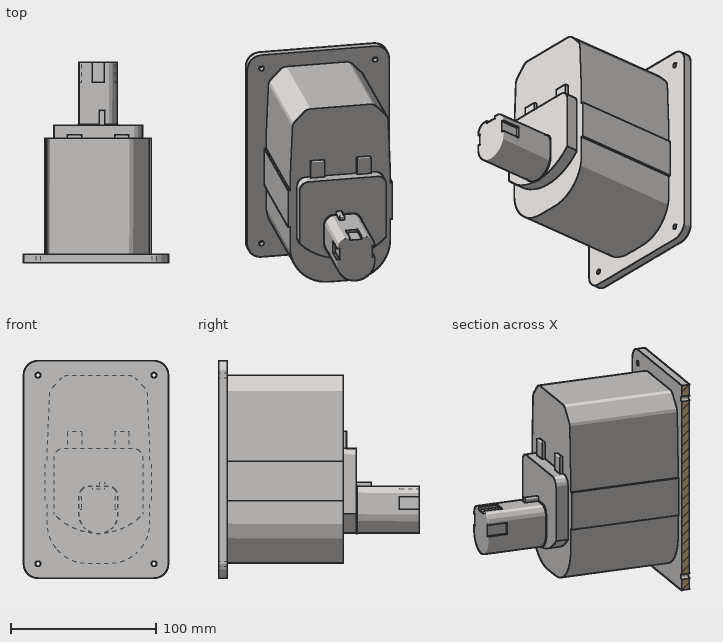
import cadquery as cq

PLATE_WIDTH = 100.0
PLATE_HEIGHT = 150.0
PLATE_THICKNESS = 6.0
PLATE_CORNER_RADIUS = 10.0
HOLE_DIAMETER = 3.4
HOLE_INSET = 10.0

AXIS_X = 1.5

HOUSING_DEPTH = 80.0
HOUSING_TOP = 65.0
HOUSING_BOTTOM = -64.6
HOUSING_HALF_WIDTH = 35.3
HOUSING_BOTTOM_RADIUS = 27.6
SHOULDER_Z = 14.6
CHAMFER_TOP_HALF_WIDTH = 23.6
CHAMFER_SIDE_HALF_WIDTH = 33.6
CHAMFER_SIDE_Z = 54.7
HOUSING_EDGE_RADIUS = 6.4

PAD_TOP = 5.6
PAD_BOTTOM = -21.6
PAD_HALF_SPAN = 36.75

FLANGE_THICKNESS = 9.0
FLANGE_HALF_WIDTH = 30.6
FLANGE_CORNER_RADIUS = 6.4

TAB_THICKNESS = 2.3
TAB_WIDTH = 9.8
TAB_TOP = 26.5
TAB_OFFSET = 16.3
TAB_EDGE_RADIUS = 0.5

PLUG_LENGTH = 43.37
PLUG_RADIUS = 13.3
PLUG_CENTRE_Z = -30.6
PLUG_TOP = -11.5
PLUG_FLAT_HALF_WIDTH = 7.5
PLUG_SHOULDER_Z = -18.9
PLUG_SPLIT_HALF_WIDTH = 10.7
PLUG_SPLIT_Z = -13.05
PLUG_TIP_RADIUS = 0.4

COLLAR_LENGTH = 0.5
COLLAR_MARGIN = 0.3

NOTCH_LENGTH = 14.0
NOTCH_DEPTH = 1.8
NOTCH_WIDTH = 8.4

KEY_LENGTH = 10.3
KEY_WIDTH = 3.8
KEY_TOP = -8.8
KEY_OFFSET = 2.7
KEY_EDGE_RADIUS = 0.5

HOUSING_START = PLATE_THICKNESS
FLANGE_START = HOUSING_START + HOUSING_DEPTH
PLUG_START = FLANGE_START + FLANGE_THICKNESS
PLUG_END = PLUG_START + PLUG_LENGTH
PLUG_BOTTOM = PLUG_CENTRE_Z - PLUG_RADIUS


def section(start_y, centre_x=AXIS_X):
    """Sketch plane across Y, with local x along X and local y along Z."""
    return cq.Workplane("XZ", origin=(centre_x, start_y, 0))


def block(x_min, x_max, y_min, y_max, z_min, z_max):
    """Box between limits, with x measured from the symmetry plane."""
    size = (x_max - x_min, y_max - y_min, z_max - z_min)
    corner = (AXIS_X + x_min, y_min, z_min)
    return cq.Workplane("XY").box(*size, centered=False).translate(corner)


def make_plate():
    hole_spacing_x = PLATE_WIDTH - 2 * HOLE_INSET
    hole_spacing_z = PLATE_HEIGHT - 2 * HOLE_INSET
    return (
        section(0, centre_x=0)
        .rect(PLATE_WIDTH, PLATE_HEIGHT)
        .extrude(-PLATE_THICKNESS)
        .edges("|Y")
        .fillet(PLATE_CORNER_RADIUS)
        .faces("<Y")
        .workplane(origin=(0, 0, 0))
        .rect(hole_spacing_x, hole_spacing_z, forConstruction=True)
        .vertices()
        .hole(HOLE_DIAMETER)
    )


def make_housing():
    right_side = [
        (HOUSING_HALF_WIDTH, SHOULDER_Z),
        (CHAMFER_SIDE_HALF_WIDTH, CHAMFER_SIDE_Z),
        (CHAMFER_TOP_HALF_WIDTH, HOUSING_TOP),
    ]
    left_side = [(-x, z) for x, z in reversed(right_side)]
    housing = (
        section(HOUSING_START)
        .moveTo(-HOUSING_HALF_WIDTH, HOUSING_BOTTOM)
        .lineTo(HOUSING_HALF_WIDTH, HOUSING_BOTTOM)
    )
    for x, z in right_side + left_side:
        housing = housing.lineTo(x, z)
    housing = housing.close().extrude(-HOUSING_DEPTH)
    housing = housing.edges("|Y and <Z").fillet(HOUSING_BOTTOM_RADIUS)
    above_shoulder = cq.selectors.BoxSelector(
        (-PLATE_WIDTH, 0, SHOULDER_Z + HOUSING_EDGE_RADIUS),
        (PLATE_WIDTH, PLUG_END, PLATE_HEIGHT),
    )
    return housing.edges("|Y").edges(above_shoulder).fillet(HOUSING_EDGE_RADIUS)


def make_pads():
    return block(-PAD_HALF_SPAN, PAD_HALF_SPAN, HOUSING_START, FLANGE_START, PAD_BOTTOM, PAD_TOP)


def make_flange():
    return (
        section(FLANGE_START)
        .moveTo(-FLANGE_HALF_WIDTH, SHOULDER_Z)
        .lineTo(-FLANGE_HALF_WIDTH, PLUG_CENTRE_Z)
        .threePointArc((0, PLUG_BOTTOM), (FLANGE_HALF_WIDTH, PLUG_CENTRE_Z))
        .lineTo(FLANGE_HALF_WIDTH, SHOULDER_Z)
        .close()
        .extrude(-FLANGE_THICKNESS)
        .edges("|Y and >Z")
        .fillet(FLANGE_CORNER_RADIUS)
    )


def make_tab(side):
    centre = side * TAB_OFFSET
    tab = block(
        centre - TAB_WIDTH / 2,
        centre + TAB_WIDTH / 2,
        FLANGE_START,
        FLANGE_START + TAB_THICKNESS,
        SHOULDER_Z - FLANGE_CORNER_RADIUS,
        TAB_TOP,
    )
    return tab.edges(">Z and (not <Y)").fillet(TAB_EDGE_RADIUS)


def plug_outline():
    return (
        section(PLUG_START)
        .moveTo(0, PLUG_BOTTOM)
        .radiusArc((PLUG_RADIUS, PLUG_CENTRE_Z), -PLUG_RADIUS)
        .lineTo(PLUG_RADIUS, PLUG_SHOULDER_Z)
        .tangentArcPoint((PLUG_SPLIT_HALF_WIDTH, PLUG_SPLIT_Z), relative=False)
        .tangentArcPoint((PLUG_FLAT_HALF_WIDTH, PLUG_TOP), relative=False)
        .lineTo(0, PLUG_TOP)
        .mirrorY()
    )


def make_plug():
    plug = plug_outline().extrude(-PLUG_LENGTH)
    return plug.faces(">Y").edges().fillet(PLUG_TIP_RADIUS)


def make_collar():
    return plug_outline().offset2D(COLLAR_MARGIN).extrude(-COLLAR_LENGTH)


def make_notches():
    start = PLUG_END - NOTCH_LENGTH
    half = NOTCH_WIDTH / 2
    top = block(-half, half, start, PLUG_END, PLUG_TOP - NOTCH_DEPTH, PLUG_TOP)
    z_low = PLUG_SHOULDER_Z - NOTCH_WIDTH
    inner = PLUG_RADIUS - NOTCH_DEPTH
    left = block(-PLUG_RADIUS, -inner, start, PLUG_END, z_low, PLUG_SHOULDER_Z)
    right = block(inner, PLUG_RADIUS, start, PLUG_END, z_low, PLUG_SHOULDER_Z)
    return top.union(left).union(right)


def make_key():
    x_min = KEY_OFFSET - KEY_WIDTH / 2
    y_max = PLUG_START + KEY_LENGTH
    key = block(x_min, x_min + KEY_WIDTH, PLUG_START, y_max, PLUG_SHOULDER_Z, KEY_TOP)
    return key.edges(">Z and (not <Y)").fillet(KEY_EDGE_RADIUS)


result = (
    make_plate()
    .union(make_housing())
    .union(make_pads())
    .union(make_flange())
    .union(make_tab(-1))
    .union(make_tab(1))
    .union(make_plug().cut(make_notches()))
    .union(make_collar())
    .union(make_key())
)